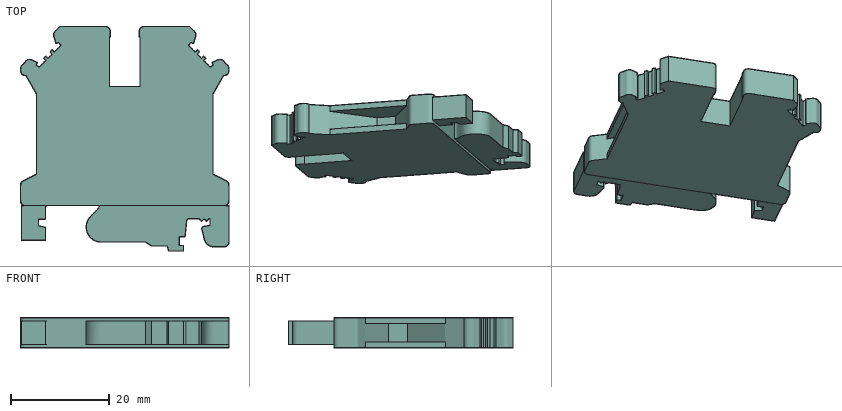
import cadquery as cq
import math


LENGTH = 42.5
HEIGHT = 45.8
THICKNESS = 6.15
BODY_HEIGHT = 36.55
EDGE_RADIUS = 1.0

HALF_LENGTH = LENGTH / 2
FOOT_BOTTOM = BODY_HEIGHT - HEIGHT
COS_45 = math.cos(math.radians(45))

WAIST_X = 18.0
WAIST_BOTTOM = 6.45
WAIST_TOP = 22.75
SKIRT_TOP = 4.8

SLOT_HALF_WIDTH = 3.05
SLOT_FLOOR = 24.3
LIP_BOTTOM = 34.4
LIP_PROJECTION = 0.15

TOP_END_X = 13.2
UPPER_LOBE_X = 14.65
UPPER_LOBE_CORNER = (UPPER_LOBE_X, BODY_HEIGHT - (UPPER_LOBE_X - TOP_END_X))
UPPER_LOBE_END = (14.0, 33.0)
UPPER_HOOK = (13.5, 33.2)

SEAT_TOP = (13.0, 32.7)
SEAT_DROP = 4.45
TOOTH_WIDTH = 0.65
TOOTH_HEIGHT = 0.65
TOOTH_PITCH = 1.85

LOWER_HOOK = (18.0, 28.65)
LOWER_LOBE_START = (17.75, 29.17)
LOWER_LOBE_CORNER = (19.7, 30.1)
EAR_X = HALF_LENGTH - EDGE_RADIUS
EAR_TOP_CENTRE = 27.95
EAR_BOTTOM_CENTRE = 27.53
EAR_JOIN_RISE = 0.85
EAR_ROOT_X = 20.15

POCKET_WALL = 1.2
POCKET_DEPTH = 7.7
POCKET_BACK_BOTTOM = 11.15

FOOT_THICKNESS = 4.8


def seat_point(along, outward):
    """Point on the left marker seat: distance from its top end and distance off its face."""
    x = SEAT_TOP[0] + (along + outward) * COS_45
    y = SEAT_TOP[1] - (along - outward) * COS_45
    return (-x, y)


def mirrored(shape):
    """The shape joined with its mirror image across the middle plane of the housing."""
    return shape.union(shape.mirror("YZ"))


def round_corners(solid, corners, radius):
    """Fillet the upright edges standing at the given XY corners."""
    for x, y in corners:
        nearest = cq.selectors.NearestToPointSelector((x, y, 0))
        solid = solid.edges("|Z").edges(nearest).fillet(radius)
    return solid


def slab(outline, thickness):
    return outline.close().extrude(thickness / 2, both=True)


def half_housing():
    ear_join_x = EAR_X + math.sqrt(EDGE_RADIUS**2 - EAR_JOIN_RISE**2)
    ear_mid_angle = math.asin(EAR_JOIN_RISE / EDGE_RADIUS) / 2
    ear_upper_mid = (
        -EAR_X - EDGE_RADIUS * math.cos(ear_mid_angle),
        EAR_TOP_CENTRE + EDGE_RADIUS * math.sin(ear_mid_angle),
    )
    ear_lower_mid = (-EAR_X - EDGE_RADIUS * COS_45, EAR_BOTTOM_CENTRE - EDGE_RADIUS * COS_45)
    ear_bottom = EAR_BOTTOM_CENTRE - EDGE_RADIUS
    lip_x = SLOT_HALF_WIDTH - LIP_PROJECTION

    outline = (
        cq.Workplane("XY")
        .moveTo(0, 0)
        .lineTo(0, SLOT_FLOOR)
        .lineTo(-SLOT_HALF_WIDTH, SLOT_FLOOR)
        .lineTo(-SLOT_HALF_WIDTH, LIP_BOTTOM)
        .lineTo(-lip_x, LIP_BOTTOM)
        .lineTo(-lip_x, BODY_HEIGHT)
        .lineTo(-TOP_END_X, BODY_HEIGHT)
    )
    for x, y in (UPPER_LOBE_CORNER, UPPER_LOBE_END, UPPER_HOOK, SEAT_TOP):
        outline = outline.lineTo(-x, y)

    seat_length = SEAT_DROP / COS_45
    for centre in (seat_length / 2 - TOOTH_PITCH / 2, seat_length / 2 + TOOTH_PITCH / 2):
        start = centre - TOOTH_WIDTH / 2
        end = centre + TOOTH_WIDTH / 2
        outline = (
            outline.lineTo(*seat_point(start, 0))
            .lineTo(*seat_point(start, TOOTH_HEIGHT))
            .lineTo(*seat_point(end, TOOTH_HEIGHT))
            .lineTo(*seat_point(end, 0))
        )
    outline = outline.lineTo(*seat_point(seat_length, 0))

    for x, y in (LOWER_HOOK, LOWER_LOBE_START, LOWER_LOBE_CORNER):
        outline = outline.lineTo(-x, y)
    outline = (
        outline.lineTo(-ear_join_x, EAR_TOP_CENTRE + EAR_JOIN_RISE)
        .threePointArc(ear_upper_mid, (-HALF_LENGTH, EAR_TOP_CENTRE))
        .lineTo(-HALF_LENGTH, EAR_BOTTOM_CENTRE)
        .threePointArc(ear_lower_mid, (-EAR_X, ear_bottom))
        .lineTo(-EAR_ROOT_X, ear_bottom)
        .lineTo(-WAIST_X, WAIST_TOP)
        .lineTo(-WAIST_X, WAIST_BOTTOM)
        .lineTo(-HALF_LENGTH, SKIRT_TOP)
        .lineTo(-HALF_LENGTH, 0)
    )
    rounded = (
        (-lip_x, BODY_HEIGHT),
        (-UPPER_LOBE_CORNER[0], UPPER_LOBE_CORNER[1]),
        (-LOWER_LOBE_CORNER[0], LOWER_LOBE_CORNER[1]),
        (-HALF_LENGTH, SKIRT_TOP),
        (-HALF_LENGTH, 0),
    )
    return round_corners(slab(outline, THICKNESS), rounded, EDGE_RADIUS)


def side_pocket():
    """Pocket open to the left flank, with a 45 degree upper wall."""
    back_x = -WAIST_X + POCKET_DEPTH
    outline = cq.Workplane("XY").polyline([
        (-WAIST_X, WAIST_BOTTOM),
        (back_x, POCKET_BACK_BOTTOM),
        (back_x, WAIST_TOP - POCKET_DEPTH),
        (-WAIST_X, WAIST_TOP),
        (-HALF_LENGTH, WAIST_TOP),
        (-HALF_LENGTH, WAIST_BOTTOM),
    ])
    return slab(outline, THICKNESS - 2 * POCKET_WALL)


def fixed_foot():
    """Square foot at the left end, notched for the rail flange."""
    outer_x = -21.05
    inner_x = -16.1
    notch_x = -17.55
    foot_bottom = -7.05
    notch_top = -2.8
    notch_bottom = -4.08
    notch_mouth_bottom = -4.4
    root_radius = 0.2
    lip_radius = 0.27
    outline = (
        cq.Workplane("XY")
        .moveTo(outer_x, 0)
        .lineTo(outer_x, foot_bottom)
        .lineTo(inner_x, foot_bottom)
        .lineTo(inner_x, notch_mouth_bottom)
        .lineTo(notch_x, notch_bottom)
        .lineTo(notch_x, notch_top)
        .lineTo(inner_x, notch_top)
        .lineTo(inner_x, -root_radius)
        .radiusArc((inner_x + root_radius, 0), root_radius)
    )
    return round_corners(slab(outline, FOOT_THICKNESS), [(inner_x, notch_top)], lip_radius)


def latch_foot():
    """Long foot at the right: rounded nose, release tab, toothed rail recess and end hook."""
    nose_radius = 3.05
    nose_x = -4.8
    heel_bottom = -7.4
    root_x = -5.2
    nose_y = heel_bottom + nose_radius
    flank_start = (nose_x - nose_radius * COS_45, nose_y + nose_radius * COS_45)
    bend_start = (root_x - EDGE_RADIUS * (1 - COS_45), -EDGE_RADIUS * COS_45)

    sole_bottom = -8.25
    sole_slope = (4.2, 5.5)
    tab_slope = (8.65, 8.95)
    tab_right = 12.0
    tab_top = -8.05
    tab_notch_x = 11.15
    tab_notch_top = -6.35

    recess_top = -2.7
    recess_foot_x = 12.3
    recess_head_x = 12.7
    recess_wall_x = 17.35
    grip_teeth = 2
    grip_start = 15.15
    grip_pitch = 1.0
    grip_depth = 0.5
    recess_radius = 0.35

    hook_bottom = -8.4
    hook_throat = -4.0
    hook_tip = (15.55, -4.3)
    hook_heel_x = 16.6
    hook_tip_radius = 0.5
    hook_heel_radius = 2.0

    outline = (
        cq.Workplane("XY")
        .moveTo(root_x, 0)
        .radiusArc(bend_start, EDGE_RADIUS)
        .lineTo(*flank_start)
        .threePointArc((nose_x - nose_radius, nose_y), (nose_x, heel_bottom))
        .lineTo(sole_slope[0], heel_bottom)
        .lineTo(sole_slope[1], sole_bottom)
        .lineTo(tab_slope[0], sole_bottom)
        .lineTo(tab_slope[1], FOOT_BOTTOM)
        .lineTo(tab_right, FOOT_BOTTOM)
        .lineTo(tab_right, tab_top)
        .lineTo(tab_notch_x, tab_top)
        .lineTo(tab_notch_x, tab_notch_top)
        .lineTo(recess_foot_x, tab_notch_top)
        .lineTo(recess_head_x, recess_top)
        .lineTo(grip_start, recess_top)
    )
    for index in range(grip_teeth):
        tooth_x = grip_start + index * grip_pitch
        outline = (
            outline.lineTo(tooth_x + grip_pitch / 2, recess_top - grip_depth)
            .lineTo(tooth_x + grip_pitch, recess_top)
        )
    outline = (
        outline.lineTo(recess_wall_x, recess_top)
        .lineTo(recess_wall_x, hook_throat)
        .lineTo(*hook_tip)
        .lineTo(hook_heel_x, hook_bottom)
        .lineTo(HALF_LENGTH, hook_bottom)
        .lineTo(HALF_LENGTH, 0)
    )
    foot = slab(outline, FOOT_THICKNESS)
    recess_corners = [(recess_foot_x, tab_notch_top), (recess_head_x, recess_top)]
    foot = round_corners(foot, recess_corners, recess_radius)
    foot = round_corners(foot, [hook_tip], hook_tip_radius)
    foot = round_corners(foot, [(hook_heel_x, hook_bottom)], hook_heel_radius)
    return round_corners(foot, [(HALF_LENGTH, hook_bottom)], EDGE_RADIUS)


housing = mirrored(half_housing().cut(side_pocket()))
result = housing.union(fixed_foot()).union(latch_foot())